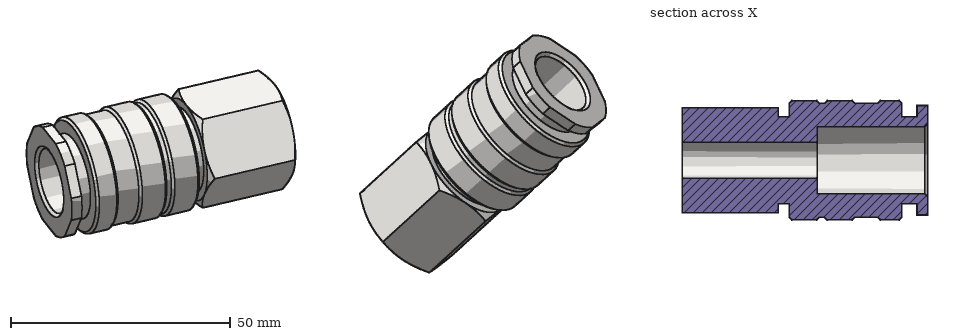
import cadquery as cq
import math

LENGTH = 56.0

FLANGE_DIAMETER = 26.1
FLANGE_FLATS = 25.0
FLANGE_END = 2.5

NECK_DIAMETER = 20.0
GROOVE_DIAMETER = 26.1
RING_DIAMETER = 27.3
RING_SPANS = [(5.95, 11.5), (16.65, 23.6), (24.7, 31.65)]
RING_CHAMFER = (RING_DIAMETER - GROOVE_DIAMETER) / 2

HEX_START = 34.05
HEX_FLATS = 24.0
HEX_CHAMFER_ANGLE = 30.0

BORE_DIAMETER = 15.2
BORE_CHAMFER = 0.7
BORE_DEPTH = 25.2
HOLE_DIAMETER = 8.0


def revolve_profile(points):
    """Revolve an outline of (radius, Y) points about the Y axis."""
    return cq.Workplane("XY").polyline(points).close().revolve(360, (0, 0, 0), (0, 1, 0))


def cylinder(diameter, start, end):
    plane = cq.Workplane("XZ", origin=(0, start, 0))
    return plane.circle(diameter / 2).extrude(start - end)


def hexagon(flats, start, end):
    """Hexagonal prism along Y with corners on the X axis."""
    corner_diameter = flats / math.cos(math.radians(30))
    plane = cq.Workplane("XZ", origin=(0, start, 0))
    return plane.polygon(6, corner_diameter).extrude(start - end)


def make_ring(start, end):
    """Raised sleeve ring with bevelled rims."""
    outer = RING_DIAMETER / 2
    shoulder = outer - RING_CHAMFER
    return revolve_profile([
        (0, start),
        (shoulder, start),
        (outer, start + RING_CHAMFER),
        (outer, end - RING_CHAMFER),
        (shoulder, end),
        (0, end),
    ])


def make_hex_end():
    """Wrench hexagon with its corners turned down to a cone at both ends."""
    face_radius = HEX_FLATS / 2
    corner_radius = face_radius / math.cos(math.radians(30))
    drop = (corner_radius - face_radius) * math.tan(math.radians(HEX_CHAMFER_ANGLE))
    envelope = revolve_profile([
        (0, HEX_START),
        (face_radius, HEX_START),
        (corner_radius, HEX_START + drop),
        (corner_radius, LENGTH - drop),
        (face_radius, LENGTH),
        (0, LENGTH),
    ])
    return hexagon(HEX_FLATS, HEX_START, LENGTH).intersect(envelope)


def make_bore():
    """Chamfered blind bore at the mouth."""
    radius = BORE_DIAMETER / 2
    return revolve_profile([
        (0, 0),
        (radius + BORE_CHAMFER, 0),
        (radius, BORE_CHAMFER),
        (radius, BORE_DEPTH),
        (0, BORE_DEPTH),
    ])


flange = cylinder(FLANGE_DIAMETER, 0, FLANGE_END).intersect(hexagon(FLANGE_FLATS, 0, FLANGE_END))
neck = cylinder(NECK_DIAMETER, 0, HEX_START)
sleeve_core = cylinder(GROOVE_DIAMETER, RING_SPANS[0][1], RING_SPANS[-1][0])

body = neck.union(flange).union(sleeve_core).union(make_hex_end())
for ring_start, ring_end in RING_SPANS:
    body = body.union(make_ring(ring_start, ring_end))

result = body.cut(make_bore()).cut(cylinder(HOLE_DIAMETER, 0, LENGTH))